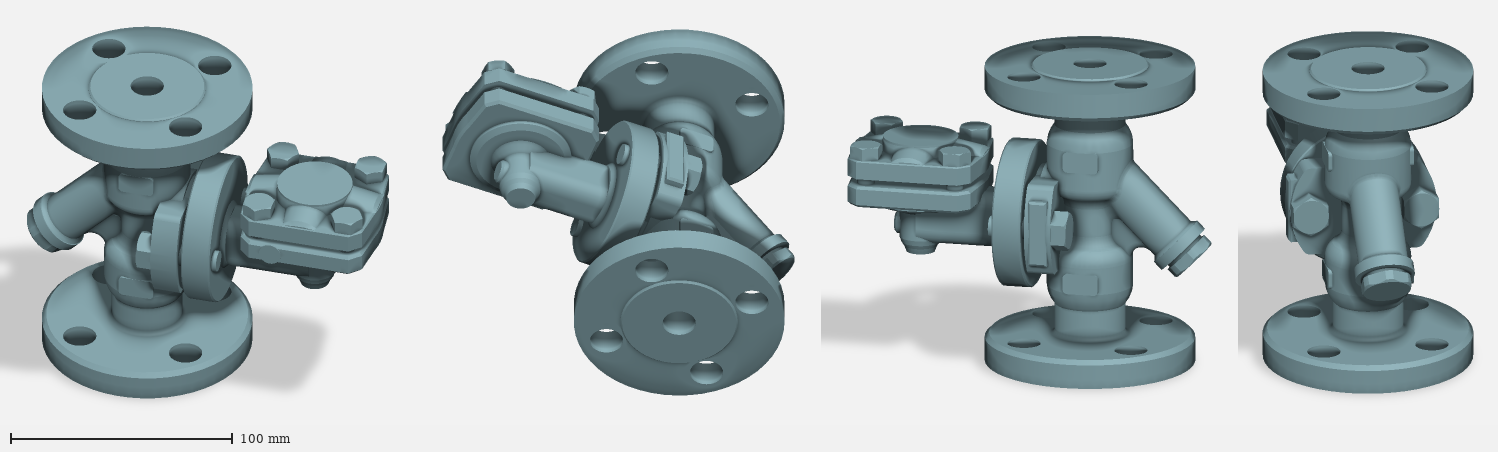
import cadquery as cq
import math


face_to_face = 140.0
flange_dia = 95.0
flange_thickness = 13.0
raised_face_dia = 53.0
raised_face_height = 1.0
raised_face_chamfer = 0.8
flange_chamfer = 2.0
flange_hole_dia = 15.0
flange_hole_circle = 70.0
flange_hole_count = 4
flange_hole_start_angle = 45.0
port_dia = 15.0
port_depth = 28.0

pipe_dia = 32.0
pipe_fillet = 2.0
body_dia = 39.0
neck_dia = 24.0
shoulder_pipe_z = 41.8
shoulder_body_z = 33.2
shoulder_bulge = 1.2
upper_bulb_base_z = 15.3
lower_bulb_top_z = -20.9
bulb_knee_dia = 32.0
upper_knee_z = 10.0
lower_knee_z = -14.0
neck_top_z = 4.8
neck_bottom_z = -8.2
bulb_bend = 0.7
body_pad_width = 16.2
body_pad_height = 9.4
body_pad_z = 28.5
body_pad_span = 39.1
body_pad_corner = 2.0

branch_origin_z = 28.8
branch_dia = 22.5
branch_collar_dia = 27.0
branch_collar_start = 56.0
branch_collar_end = 61.0
branch_cone_length = 1.8
branch_cone_top_dia = 26.0
plug_neck_dia = 20.0
plug_start = 62.8
plug_end = 68.2
plug_flats = 21.6
plug_corner_dia = 23.2
plug_edge = 1.0
branch_root_fillet = 3.0
web_thickness = 9.0
web_round = 3.0
web_branch_end = (-28.5, -15.8)
web_arch_crown = (-24.0, -14.2)
web_body_end = (-19.2, -18.8)
web_inner_x = -9.0
web_top_z = -1.0

joint_z = -2.0
plate_dia = 67.0
plate_height = 41.6
plate_start_x = 10.6
plate_end_x = 22.8
plate_corner = 4.0
hub_dia = 45.8
flare_dia = 49.0
flare_start_x = 10.6
flare_end_x = 20.0
flare_round = 2.5
spigot_dia = 35.0
disc_dia = 67.0
disc_start_x = 24.7
disc_end_x = 38.0
disc_edge = 0.7
joint_bolt_y = 25.3
joint_head_flats = 16.0
joint_head_start_x = 3.6
joint_bolt_dia = 9.5
joint_bolt_end_x = 40.3
side_pad_y = 34.0
side_pad_height = 30.0
side_pad_width = 8.5
side_pad_chamfer = 1.0

hex_trim_angle = 30.0

trap_x = 78.35
slab_half_y = 28.0
slab_end_half_x = 23.3
slab_side_half_x = 28.4
slab_side_half_y = 23.0
slab_mid_half_x = 30.8
slab_bow_half_x = 30.0
slab_bow_half_y = 8.0
cover_top_z = 25.3
cover_bottom_z = 16.8
cover_edge = 0.6
chamber_top_z = 13.2
chamber_bottom_z = 3.5
chamber_edge = 1.2
gasket_dia = 33.0
cover_land_dia = 39.0
cover_land_height = 0.8
trap_bolt_offset = 20.5
trap_bolt_dia = 8.0
trap_head_flats = 13.0
trap_head_top_z = 31.2
crown_dia = 34.0
crown_base_dia = 36.0
crown_straight_height = 1.0
crown_top_z = 31.0
arm_inner_half_width = 9.7
arm_inner_rise = 5.3
arm_inner_reach = 15.0
arm_outer_half_width = 7.7
arm_outer_rise = 2.5
arm_toe_half_width = 7.5
arm_toe_rise = 0.7
arm_toe_length = 1.7
arm_end_setback = 0.3
id_boss_x = 65.1
id_boss_z = 8.6
id_boss_dia = 10.0
id_boss_height = 0.5

underside_dia = 45.8
underside_flat_dia = 40.0
underside_rim_z = 1.8
underside_z = 0.3
funnel_dia = 27.0
funnel_z = -3.6
drain_dia = 19.2
drain_shoulder_z = -16.0
drain_step_dia = 17.5
drain_step_z = -18.5
drain_taper_dia = 15.0
drain_taper_z = -20.3
drain_tip_dia = 13.0
drain_bottom_z = -23.0
drain_plug_dia = 10.5
drain_plug_z = -10.0
drain_plug_end = 11.4
drain_plug_edge = 1.0
duct_half_width = 10.5
duct_top_z = 8.0
duct_bottom_z = -17.5
duct_corner = 7.0
duct_root_dia = 27.0
duct_root_length = 2.0
duct_root_land = 0.02


def z_cylinder(diameter, bottom, top, x=0.0, y=0.0):
    return cq.Workplane("XY", origin=(x, y, bottom)).circle(diameter / 2).extrude(top - bottom)


def x_cylinder(diameter, start, end, z, y=0.0):
    return cq.Workplane("YZ", origin=(start, y, z)).circle(diameter / 2).extrude(end - start)


def hex_head(plane, flats, height, turn=0.0):
    """Hexagon standing on a plane, its outer corners trimmed by a cone."""
    corner_radius = flats / math.sqrt(3)
    corner_drop = (corner_radius - flats / 2) * math.tan(math.radians(hex_trim_angle))
    prism = cq.Workplane(plane).polygon(6, 2 * corner_radius).extrude(height)
    prism = prism.rotate(plane.origin.toTuple(), (plane.origin + plane.zDir).toTuple(), turn)
    trim_profile = [
        (0, 0),
        (corner_radius, 0),
        (corner_radius, height - corner_drop),
        (flats / 2, height),
        (0, height),
    ]
    side_plane = cq.Plane(origin=plane.origin, xDir=plane.xDir, normal=plane.yDir * -1)
    trim = cq.Workplane(side_plane).polyline(trim_profile).close()
    trim = trim.revolve(360, (0, 0, 0), (0, 1, 0))
    return prism.intersect(trim)


def make_pipe_flange():
    """Top flange; its weld side faces down."""
    face_z = face_to_face / 2
    rim_top = face_z - raised_face_height
    rim_bottom = rim_top - flange_thickness
    flange = z_cylinder(flange_dia, rim_bottom, rim_top).faces("<Z").chamfer(flange_chamfer)
    raised_face = z_cylinder(raised_face_dia, rim_top, face_z).faces(">Z").chamfer(raised_face_chamfer)
    flange = flange.union(raised_face)
    root = z_cylinder(pipe_dia + 2 * pipe_fillet, rim_bottom - pipe_fillet, rim_bottom)
    cove = cq.Workplane("XZ").center(pipe_dia / 2 + pipe_fillet, rim_bottom - pipe_fillet)
    axis_x = -pipe_dia / 2 - pipe_fillet
    cove = cove.circle(pipe_fillet).revolve(360, (axis_x, 0, 0), (axis_x, 1, 0))
    flange = flange.union(root.cut(cove))
    holes = cq.Workplane("XY", origin=(0, 0, rim_bottom))
    holes = holes.polarArray(flange_hole_circle / 2, flange_hole_start_angle, 360, flange_hole_count)
    return flange.cut(holes.circle(flange_hole_dia / 2).extrude(flange_thickness))


def make_body():
    """Turned body: two bulbs joined by a neck, with a pipe stub at each end."""
    pipe_r = pipe_dia / 2
    body_r = body_dia / 2
    knee_r = bulb_knee_dia / 2
    neck_r = neck_dia / 2
    stub_z = face_to_face / 2 - raised_face_height
    shoulder_mid = ((pipe_r + body_r) / 2 + shoulder_bulge / 2,
                    (shoulder_pipe_z + shoulder_body_z) / 2 + shoulder_bulge / 2)

    def bulge_point(start, end, radial_shift, axial_shift):
        return ((start[0] + end[0]) / 2 + radial_shift, (start[1] + end[1]) / 2 + axial_shift)

    upper_rim = (body_r, upper_bulb_base_z)
    upper_knee = (knee_r, upper_knee_z)
    upper_neck = (neck_r, neck_top_z)
    lower_neck = (neck_r, neck_bottom_z)
    lower_knee = (knee_r, lower_knee_z)
    lower_rim = (body_r, lower_bulb_top_z)
    profile = (
        cq.Workplane("XZ")
        .moveTo(0, stub_z)
        .lineTo(pipe_r, stub_z)
        .lineTo(pipe_r, shoulder_pipe_z)
        .threePointArc(shoulder_mid, (body_r, shoulder_body_z))
        .lineTo(*upper_rim)
        .threePointArc(bulge_point(upper_rim, upper_knee, bulb_bend, -bulb_bend), upper_knee)
        .threePointArc(bulge_point(upper_knee, upper_neck, -bulb_bend, bulb_bend), upper_neck)
        .lineTo(*lower_neck)
        .threePointArc(bulge_point(lower_neck, lower_knee, -bulb_bend, -bulb_bend), lower_knee)
        .threePointArc(bulge_point(lower_knee, lower_rim, bulb_bend, bulb_bend), lower_rim)
        .lineTo(body_r, -shoulder_body_z)
        .threePointArc((shoulder_mid[0], -shoulder_mid[1]), (pipe_r, -shoulder_pipe_z))
        .lineTo(pipe_r, -stub_z)
        .lineTo(0, -stub_z)
        .close()
    )
    return profile.revolve(360, (0, 0, 0), (0, 1, 0))


def make_body_pads():
    """Rounded rectangular pads on the -Y and +Y sides of both bulbs."""
    pad = cq.Workplane("XY").box(body_pad_width, body_pad_span, body_pad_height)
    pad = pad.edges("|Y").fillet(body_pad_corner)
    return pad.translate((0, 0, body_pad_z)).union(pad.translate((0, 0, -body_pad_z)))


def branch_plane(distance):
    """Plane square to the branch axis, at a distance from the body axis."""
    direction = cq.Vector(-1, 0, -1).normalized()
    origin = cq.Vector(0, 0, branch_origin_z) + direction * distance
    return cq.Plane(origin=origin, xDir=(0, 1, 0), normal=direction)


def make_branch_barrel():
    """Plain barrel of the strainer branch."""
    return cq.Workplane(branch_plane(0)).circle(branch_dia / 2).extrude(branch_collar_start)


def fillet_branch_root(body):
    """Round the corner where the barrel leaves the upper bulb and the neck."""
    return body.edges("%BSPLINE").edges(">Z").fillet(branch_root_fillet)


def make_branch_end():
    """Collar and hexagon plug closing the branch."""
    collar = cq.Workplane(branch_plane(branch_collar_start)).circle(branch_collar_dia / 2)
    collar = collar.extrude(branch_collar_end - branch_collar_start)
    cone = cq.Workplane(branch_plane(branch_collar_start - branch_cone_length)).circle(branch_dia / 2)
    cone = cone.workplane(offset=branch_cone_length).circle(branch_cone_top_dia / 2).loft()
    plug_neck = cq.Workplane(branch_plane(branch_collar_end)).circle(plug_neck_dia / 2)
    plug_neck = plug_neck.extrude(plug_start - branch_collar_end)
    plug_length = plug_end - plug_start
    plug_across_corners = 2 * plug_flats / math.sqrt(3)
    hexagon = cq.Workplane(branch_plane(plug_start)).polygon(6, plug_across_corners).extrude(plug_length)
    hexagon = hexagon.rotate(branch_plane(0).origin.toTuple(), branch_plane(1).origin.toTuple(), 30)
    blank = cq.Workplane(branch_plane(plug_start)).circle(plug_corner_dia / 2).extrude(plug_length)
    blank = blank.faces("<X").chamfer(plug_edge)
    return collar.union(cone).union(plug_neck).union(hexagon.intersect(blank))


def make_branch_web():
    """Web filling the corner between branch and neck, its arched lower edge rounded."""
    web = (
        cq.Workplane("XZ", origin=(0, web_thickness / 2, 0))
        .moveTo(*web_branch_end)
        .threePointArc(web_arch_crown, web_body_end)
        .lineTo(web_inner_x, web_body_end[1])
        .lineTo(web_inner_x, web_top_z)
        .lineTo(web_branch_end[0], web_top_z)
        .close()
        .extrude(web_thickness)
    )
    return web.edges("%CIRCLE").fillet(web_round)


def make_joint_plate():
    """Body-side plate: a disc cut flat above and below, on a flared round hub."""
    thickness = plate_end_x - plate_start_x
    plate = x_cylinder(plate_dia, plate_start_x, plate_end_x, joint_z)
    band = cq.Workplane("XY").box(thickness, plate_dia, plate_height)
    plate = plate.intersect(band.translate(((plate_start_x + plate_end_x) / 2, 0, joint_z)))
    plate = plate.edges("|X").fillet(plate_corner)
    hub = x_cylinder(hub_dia, flare_start_x, plate_end_x, joint_z)
    flare = x_cylinder(flare_dia, flare_start_x, flare_end_x, joint_z)
    hub = hub.union(flare.faces("<X").edges().fillet(flare_round))
    pad = cq.Workplane("XY").box(side_pad_width, side_pad_y, side_pad_height)
    pad = pad.faces(">Y").edges().chamfer(side_pad_chamfer)
    pad = pad.translate(((plate_start_x + plate_end_x) / 2, side_pad_y / 2, joint_z))
    return plate.union(hub).union(pad)


def make_joint_disc():
    """Trap-side disc with the spigot that closes the gap to the plate."""
    disc = x_cylinder(disc_dia, disc_start_x, disc_end_x, joint_z).edges().chamfer(disc_edge)
    return disc.union(x_cylinder(spigot_dia, plate_end_x, disc_start_x, joint_z))


def make_joint_bolts():
    bolts = cq.Workplane("XY")
    for y in (-joint_bolt_y, joint_bolt_y):
        plane = cq.Plane(origin=(plate_start_x, y, joint_z), xDir=(0, 0, 1), normal=(-1, 0, 0))
        head = hex_head(plane, joint_head_flats, plate_start_x - joint_head_start_x)
        shank = x_cylinder(joint_bolt_dia, plate_start_x, joint_bolt_end_x, joint_z, y)
        bolts = bolts.union(head).union(shank)
    return bolts


def make_slab(bottom, top):
    """Square slab on the trap axis with cut corners and -X and +X sides bowed in the middle."""
    outline = (
        cq.Workplane("XY", origin=(trap_x, 0, bottom))
        .moveTo(-slab_end_half_x, slab_half_y)
        .lineTo(slab_end_half_x, slab_half_y)
        .lineTo(slab_side_half_x, slab_side_half_y)
        .lineTo(slab_bow_half_x, slab_bow_half_y)
        .threePointArc((slab_mid_half_x, 0), (slab_bow_half_x, -slab_bow_half_y))
        .lineTo(slab_side_half_x, -slab_side_half_y)
        .lineTo(slab_end_half_x, -slab_half_y)
        .lineTo(-slab_end_half_x, -slab_half_y)
        .lineTo(-slab_side_half_x, -slab_side_half_y)
        .lineTo(-slab_bow_half_x, -slab_bow_half_y)
        .threePointArc((-slab_mid_half_x, 0), (-slab_bow_half_x, slab_bow_half_y))
        .lineTo(-slab_side_half_x, slab_side_half_y)
        .close()
    )
    return outline.extrude(top - bottom)


def make_cover_arm(reach, angle):
    """Arched arm falling and narrowing from the crown to a steep toe at the cover edge."""
    plane = cq.Plane(origin=(0, -arm_inner_reach, cover_top_z), xDir=(1, 0, 0), normal=(0, -1, 0))
    arm = (
        cq.Workplane(plane)
        .moveTo(-arm_inner_half_width, 0)
        .threePointArc((0, arm_inner_rise), (arm_inner_half_width, 0))
        .close()
        .workplane(offset=reach - arm_toe_length - arm_inner_reach)
        .moveTo(-arm_outer_half_width, 0)
        .threePointArc((0, arm_outer_rise), (arm_outer_half_width, 0))
        .close()
        .workplane(offset=arm_toe_length)
        .moveTo(-arm_toe_half_width, 0)
        .threePointArc((0, arm_toe_rise), (arm_toe_half_width, 0))
        .close()
        .loft(ruled=True)
    )
    return arm.rotate((0, 0, 0), (0, 0, 1), angle).translate((trap_x, 0, 0))


def make_crown():
    """Round crown in the middle of the cover, slightly flared at its foot."""
    crown = z_cylinder(crown_dia, cover_top_z, crown_top_z, trap_x)
    skirt_height = crown_top_z - crown_straight_height - cover_top_z
    skirt = cq.Workplane("XY", origin=(trap_x, 0, cover_top_z)).circle(crown_base_dia / 2)
    skirt = skirt.workplane(offset=skirt_height).circle(crown_dia / 2).loft()
    return crown.union(skirt)


def make_trap_cover():
    cover = make_slab(cover_bottom_z, cover_top_z).faces(">Z").chamfer(cover_edge)
    for quarter in range(4):
        half_size = slab_half_y if quarter % 2 == 0 else slab_mid_half_x
        cover = cover.union(make_cover_arm(half_size - arm_end_setback, quarter * 90))
    land = z_cylinder(cover_land_dia, cover_bottom_z - cover_land_height, cover_bottom_z, trap_x)
    return cover.union(make_crown()).union(land)


def make_trap_bolts():
    bolts = cq.Workplane("XY")
    for x_side in (-1, 1):
        for y_side in (-1, 1):
            x = trap_x + x_side * trap_bolt_offset
            y = y_side * trap_bolt_offset
            turn = 30 if x_side == y_side else 0
            plane = cq.Plane(origin=(x, y, cover_top_z), xDir=(1, 0, 0), normal=(0, 0, 1))
            head = hex_head(plane, trap_head_flats, trap_head_top_z - cover_top_z, turn)
            shank = z_cylinder(trap_bolt_dia, chamber_top_z, cover_top_z, x, y)
            bolts = bolts.union(head).union(shank)
    return bolts


def make_trap_chamber():
    chamber = make_slab(chamber_bottom_z, chamber_top_z).faces("|Z").chamfer(chamber_edge)
    gasket = z_cylinder(gasket_dia, chamber_top_z, cover_bottom_z, trap_x)
    boss = cq.Workplane("XZ", origin=(id_boss_x, -slab_half_y, id_boss_z))
    boss = boss.circle(id_boss_dia / 2).extrude(id_boss_height)
    return chamber.union(gasket).union(boss)


def make_trap_underside():
    """Turned underside: shallow dish, funnel and stepped drain boss with a side plug."""
    profile = [
        (0, chamber_bottom_z),
        (underside_dia / 2, chamber_bottom_z),
        (underside_dia / 2, underside_rim_z),
        (underside_flat_dia / 2, underside_z),
        (funnel_dia / 2, underside_z),
        (drain_dia / 2, funnel_z),
        (drain_dia / 2, drain_shoulder_z),
        (drain_step_dia / 2, drain_step_z),
        (drain_taper_dia / 2, drain_taper_z),
        (drain_tip_dia / 2, drain_bottom_z),
        (0, drain_bottom_z),
    ]
    turned = cq.Workplane("XZ").polyline(profile).close().revolve(360, (0, 0, 0), (0, 1, 0))
    turned = turned.translate((trap_x, 0, 0))
    plug = x_cylinder(drain_plug_dia, trap_x, trap_x + drain_plug_end, drain_plug_z)
    return turned.union(plug.faces(">X").chamfer(drain_plug_edge))


def make_duct():
    """Rounded rectangular duct from the joint disc to the trap axis."""
    height = duct_top_z - duct_bottom_z
    mid_z = (duct_top_z + duct_bottom_z) / 2
    duct = cq.Workplane("YZ", origin=(disc_end_x, 0, mid_z)).rect(2 * duct_half_width, height)
    duct = duct.extrude(trap_x - disc_end_x).edges("|X").fillet(duct_corner)
    root = x_cylinder(duct_root_dia + 2 * duct_root_length, disc_end_x,
                      disc_end_x + duct_root_length, mid_z)
    root = root.faces(">X").chamfer(duct_root_length - duct_root_land)
    return duct.union(root)


body = fillet_branch_root(make_body().union(make_branch_barrel()))
body = body.union(make_branch_end()).union(make_branch_web()).union(make_body_pads())

top_flange = make_pipe_flange()
body = body.union(top_flange).union(top_flange.mirror("XY"))
port = z_cylinder(port_dia, face_to_face / 2 - port_depth, face_to_face / 2)
body = body.cut(port).cut(port.mirror("XY"))

joint = make_joint_plate().union(make_joint_disc()).union(make_joint_bolts())
trap = make_trap_chamber().union(make_trap_cover()).union(make_trap_bolts())
trap = trap.union(make_trap_underside()).union(make_duct())

result = body.union(joint).union(trap)